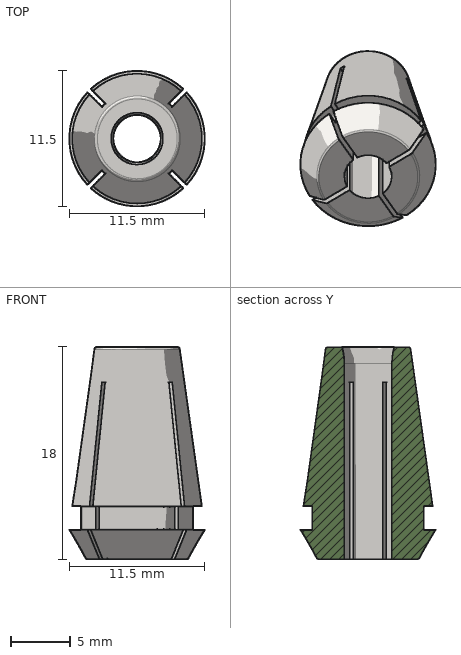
import cadquery as cq
import math

total_height = 18.0
rim_diameter = 11.5
rim_height = 2.5
rim_half_angle = 30.0
rim_radius = rim_diameter / 2

neck_radius = 9.5 / 2
neck_top = 4.5
neck_corner_fillet = 0.08

taper_half_angle = 8.0
taper_base_radius = 11.0 / 2
taper_top_radius = taper_base_radius - (total_height - neck_top) * math.tan(math.radians(taper_half_angle))

nose_fillet = 0.25
foot_fillet = 0.2
foot_radius = rim_radius - rim_height * math.tan(math.radians(rim_half_angle))

bore_radius = 4.0 / 2
flare_depth = 1.4
flare_arc_radius = 5.0

slot_width = 0.4
slot_top = 15.0
slot_angles = (45, 135)


def make_body():
    """Revolve the outer profile and round its top, bottom and neck edges."""
    body = (
        cq.Workplane("XZ")
        .moveTo(0, 0)
        .lineTo(foot_radius, 0)
        .lineTo(rim_radius, rim_height)
        .lineTo(neck_radius, rim_height)
        .lineTo(neck_radius, neck_top)
        .lineTo(taper_base_radius, neck_top)
        .lineTo(taper_top_radius, total_height)
        .lineTo(0, total_height)
        .close()
        .revolve(360, (0, 0, 0), (0, 1, 0))
    )
    neck_rank = 2
    neck_corners = cq.selectors.RadiusNthSelector(neck_rank)
    body = body.edges(neck_corners).fillet(neck_corner_fillet)
    body = body.faces(">Z").edges().fillet(nose_fillet)
    body = body.faces("<Z").edges().fillet(foot_fillet)
    return body


def flare_radius(height):
    """Bore radius at a height within the flare."""
    rise = height - (total_height - flare_depth)
    return bore_radius + flare_arc_radius - math.sqrt(flare_arc_radius**2 - rise**2)


def make_bore():
    """Revolve the bore, which flares out smoothly towards the top face."""
    flare_start = total_height - flare_depth
    flare_middle = total_height - flare_depth / 2
    return (
        cq.Workplane("XZ")
        .moveTo(0, 0)
        .lineTo(bore_radius, 0)
        .lineTo(bore_radius, flare_start)
        .threePointArc(
            (flare_radius(flare_middle), flare_middle),
            (flare_radius(total_height), total_height),
        )
        .lineTo(0, total_height)
        .close()
        .revolve(360, (0, 0, 0), (0, 1, 0))
    )


def make_slot(angle):
    """A thin plate across the full diameter, forming two opposite slots."""
    return (
        cq.Workplane("XY")
        .rect(2 * rim_diameter, slot_width)
        .extrude(slot_top)
        .rotate((0, 0, 0), (0, 0, 1), angle)
    )


result = make_body().cut(make_bore())
for slot_angle in slot_angles:
    result = result.cut(make_slot(slot_angle))